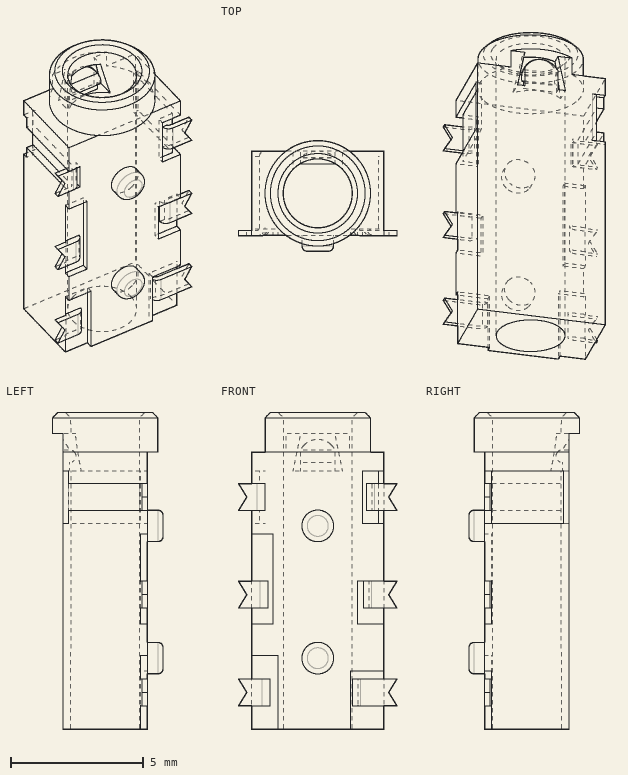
import cadquery as cq

total_height = 12.0
body_width = 5.0
body_height = 10.5
back_y = 1.6
front_y = -1.6
side_x = body_width / 2

collar_diameter = 4.0
collar_back_z = 11.2
bore_diameter = 2.6
rim_chamfer = 0.2

peg_diameter = 1.2
peg_length = 0.6
peg_fillet = 0.2
peg_heights = (2.7, 7.7)

sheet = 0.2
lug_stand_out = 0.01
lug_front_y = front_y - lug_stand_out
lug_tip_x = 3.0
lug_width = 1.02
lug_notch = 0.31
inner_bend = 0.1
outer_bend = inner_bend + sheet
lug_pitch = 3.7
lowest_lug_z = 1.4
lug_rows = 3
lug_heights = tuple(lowest_lug_z + lug_pitch * row for row in range(lug_rows))
leg_back_y = -0.96

left_leg_x = (1.81, 1.88, 2.0)
right_leg_x = (1.32, 1.73, 1.85)

clip_bottom = 7.8
clip_top = 9.78
right_groove_depth = 0.2

pocket_depth = 0.25
middle_lug_top = lug_heights[1] + lug_width / 2
left_pockets = ((1.51, 0, 2.8), (1.69, 4.0, 7.4))
right_pockets = ((1.25, 0, 2.21), (1.51, 4.0, middle_lug_top), (1.69, clip_bottom, clip_top))

window_top_half_width = 0.65
window_bottom_half_width = 0.94
nose_half_width = 0.65
nose_radius = 0.24
nose_tip_y = 1.1
nose_z = 10.35
spring_tip_z = 10.98


def block(x_from, x_to, y_from, y_to, z_from, z_to):
    """Box between opposite corner coordinates."""
    size = (x_to - x_from, y_to - y_from, z_to - z_from)
    return cq.Workplane("XY").box(*size, centered=False).translate((x_from, y_from, z_from))


def make_housing():
    housing = block(-side_x, side_x, front_y, back_y, 0, body_height)
    collar = (
        cq.Workplane("XY", origin=(0, 0, body_height))
        .circle(collar_diameter / 2)
        .extrude(total_height - body_height)
        .faces(">Z")
        .chamfer(rim_chamfer)
    )
    collar_radius = collar_diameter / 2
    back_trim = block(-collar_radius, collar_radius, back_y, collar_radius, body_height, collar_back_z)
    bore = cq.Workplane("XY").circle(bore_diameter / 2).extrude(total_height)
    housing = housing.union(collar.cut(back_trim)).cut(bore)
    bore_rim = housing.faces(">Z").edges(cq.selectors.RadiusNthSelector(0))
    return bore_rim.chamfer(rim_chamfer)


def make_pocket(side, inner_x, z_from, z_to):
    """Front-face pocket open to the left (side = -1) or right (side = 1)."""
    x_from, x_to = sorted((side * inner_x, side * side_x))
    return block(x_from, x_to, front_y, front_y + pocket_depth, z_from, z_to)


def make_contact(side, leg_x, center_z, leg_end_y):
    """Leg running back from the front face, bent outward into a lug with a V-notched tip."""
    lug_back_y = lug_front_y + sheet
    profile = (
        cq.Workplane("XY", origin=(0, 0, center_z - lug_width / 2))
        .moveTo(leg_x, leg_end_y)
        .lineTo(leg_x, lug_front_y + outer_bend)
        .radiusArc((leg_x + outer_bend, lug_front_y), -outer_bend)
        .lineTo(lug_tip_x, lug_front_y)
        .lineTo(lug_tip_x, lug_back_y)
        .lineTo(leg_x + outer_bend, lug_back_y)
        .radiusArc((leg_x + sheet, lug_back_y + inner_bend), inner_bend)
        .lineTo(leg_x + sheet, leg_end_y)
        .close()
        .extrude(lug_width)
    )
    notch = (
        cq.Workplane("XZ", origin=(0, lug_back_y, 0))
        .moveTo(lug_tip_x, center_z - lug_width / 2)
        .lineTo(lug_tip_x - lug_notch, center_z)
        .lineTo(lug_tip_x, center_z + lug_width / 2)
        .close()
        .extrude(sheet)
    )
    contact = profile.cut(notch)
    return contact if side > 0 else contact.mirror("YZ")


def make_left_pad(leg_x, center_z):
    """Material that fills the gap between a left pocket floor and the back of its lug."""
    z_from = center_z - lug_width / 2
    lug_back_y = lug_front_y + sheet
    return block(-side_x, -(leg_x + sheet), lug_back_y, front_y + pocket_depth, z_from, z_from + lug_width)


def make_peg(center_z):
    return (
        cq.Workplane("XZ", origin=(0, front_y, center_z))
        .circle(peg_diameter / 2)
        .extrude(peg_length)
        .faces("<Y")
        .edges()
        .fillet(peg_fillet)
    )


def make_window():
    """Opening through the back wall that widens downward."""
    return (
        cq.Workplane("XZ", origin=(0, back_y, 0))
        .moveTo(-window_bottom_half_width, clip_top)
        .lineTo(window_bottom_half_width, clip_top)
        .lineTo(window_top_half_width, collar_back_z)
        .lineTo(-window_top_half_width, collar_back_z)
        .close()
        .extrude(back_y)
    )


def make_clip():
    """Plate with a rounded left corner, and a round-nosed spring rising from it to a rounded tip."""
    plate_left = -(left_leg_x[-1] + sheet)
    plate_front_y = back_y - sheet
    plate = (
        cq.Workplane("XY", origin=(0, 0, clip_bottom))
        .moveTo(plate_left, plate_front_y)
        .radiusArc((plate_left + sheet, back_y), sheet)
        .lineTo(side_x, back_y)
        .lineTo(side_x, plate_front_y)
        .close()
        .extrude(clip_top - clip_bottom)
    )
    nose_y = nose_tip_y + nose_radius
    nose = (
        cq.Workplane("YZ", origin=(-nose_half_width, 0, 0))
        .center(nose_y, nose_z)
        .circle(nose_radius)
        .extrude(2 * nose_half_width)
    )
    shoulder_z = nose_z + nose_radius
    stem_outline = (
        cq.Workplane("XZ", origin=(0, back_y, 0))
        .moveTo(-nose_half_width, clip_bottom)
        .lineTo(-nose_half_width, shoulder_z)
        .threePointArc((0, spring_tip_z), (nose_half_width, shoulder_z))
        .lineTo(nose_half_width, clip_bottom)
        .close()
        .extrude(back_y - nose_y)
    )
    stem_side = (
        cq.Workplane("YZ", origin=(-nose_half_width, 0, 0))
        .moveTo(back_y, clip_bottom)
        .lineTo(plate_front_y, clip_bottom)
        .lineTo(nose_y, shoulder_z)
        .lineTo(back_y, spring_tip_z)
        .close()
        .extrude(2 * nose_half_width)
    )
    stem = stem_outline.intersect(stem_side)
    return plate.union(nose).union(stem)


result = make_housing().cut(make_window())

upper_lug_z = lug_heights[-1]
slot_bottom = upper_lug_z - lug_width / 2
slot_top = upper_lug_z + lug_width / 2
result = result.cut(block(-side_x, side_x, back_y - sheet, back_y, clip_bottom, clip_top))
result = result.cut(block(-side_x, -left_leg_x[-1], front_y, back_y, slot_bottom, slot_top))
result = result.cut(block(side_x - right_groove_depth, side_x, front_y, back_y, clip_bottom, clip_top))

for pocket in left_pockets:
    result = result.cut(make_pocket(-1, *pocket))
for pocket in right_pockets:
    result = result.cut(make_pocket(1, *pocket))

result = result.union(make_clip())

for row, lug_z in enumerate(lug_heights):
    left_end_y = back_y - sheet if lug_z == upper_lug_z else leg_back_y
    result = result.union(make_contact(-1, left_leg_x[row], lug_z, left_end_y))
    result = result.union(make_contact(1, right_leg_x[row], lug_z, leg_back_y))
    if lug_z < upper_lug_z:
        result = result.union(make_left_pad(left_leg_x[row], lug_z))

for peg_z in peg_heights:
    result = result.union(make_peg(peg_z))